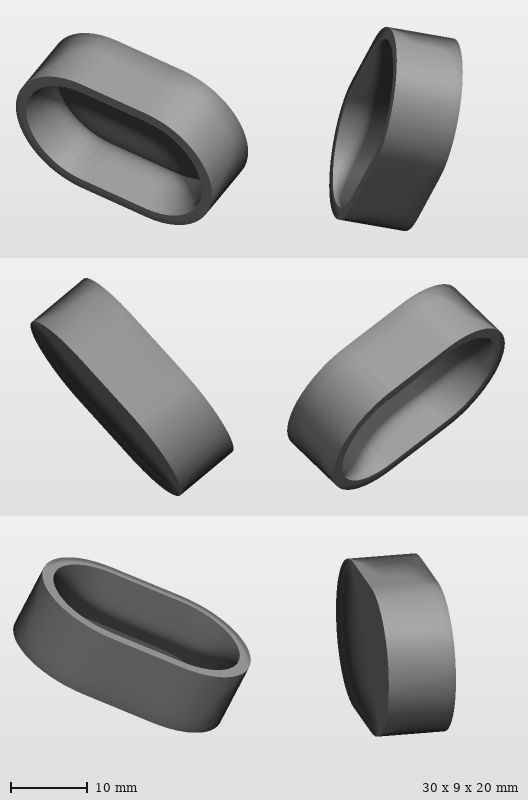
import cadquery as cq

length = 30.0
depth = 9.0
height = length * 2 / 3

wall = 1.6


def round_ended_block(inset, y_front, y_back):
    """Solid with a round-ended XZ outline, inset from the outer outline."""
    outline = cq.Workplane("XZ", origin=(0, y_front, 0)).slot2D(length - 2 * inset, height - 2 * inset)
    return outline.extrude(y_front - y_back)


body = round_ended_block(0, 0, depth)

pocket = round_ended_block(wall, 0, depth - wall)

result = body.cut(pocket)